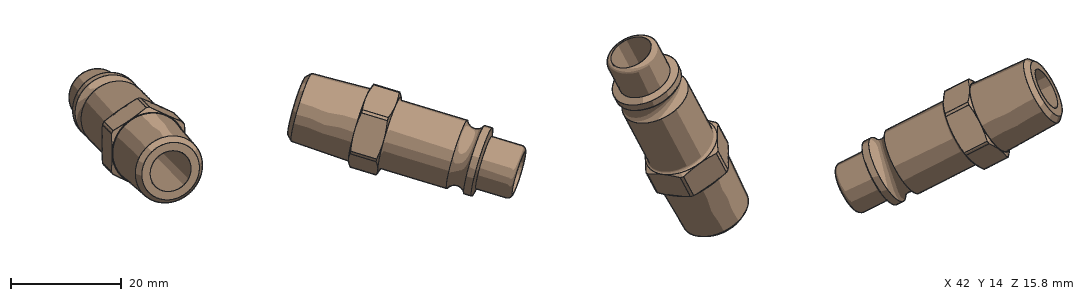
import cadquery as cq
import math

length = 42.0
tip_round = 0.92
collar_start = 6.6
collar_bevel = 0.38
groove_start = 8.4
groove_end = 11.68
neck_start = 24.0
hex_start = 24.45
hex_end = 30.05

bore_radius = 7.8 / 2
tip_radius = 9.9 / 2
body_radius = 12.9 / 2
groove_radius = 5.4
neck_radius = 6.95
thread_start_radius = 6.85
thread_end_radius = 6.43
end_chamfer = 0.92

across_flats = 14.0
across_corners = 15.8
hex_bevel = 0.35
hex_bevel_radius = 6.97


def revolve_about_x(profile):
    return profile.close().revolve(360, (0, 0, 0), (1, 0, 0))


def turned_body():
    """Plug tip, collar, locking groove, body and tapered thread blank."""
    groove_middle = (groove_start + groove_end) / 2
    quarter = math.sqrt(0.5)
    tip_mid = (tip_round * (1 - quarter), tip_radius - tip_round * (1 - quarter))
    neck_length = hex_start - neck_start
    neck_rise = neck_radius - body_radius
    neck_mid = (neck_start + neck_length * quarter, body_radius + neck_rise * (1 - quarter))
    hex_middle = (hex_start + hex_end) / 2
    profile = (
        cq.Workplane("XY")
        .moveTo(0, 0)
        .lineTo(0, tip_radius - tip_round)
        .threePointArc(tip_mid, (tip_round, tip_radius))
        .lineTo(collar_start, tip_radius)
        .lineTo(collar_start + collar_bevel, body_radius)
        .lineTo(groove_start, body_radius)
        .threePointArc((groove_middle, groove_radius), (groove_end, body_radius))
        .lineTo(neck_start, body_radius)
        .threePointArc(neck_mid, (hex_start, neck_radius))
        .lineTo(hex_middle, neck_radius)
        .lineTo(hex_middle, thread_start_radius)
        .lineTo(hex_end, thread_start_radius)
        .lineTo(length - end_chamfer, thread_end_radius)
        .lineTo(length, thread_end_radius - end_chamfer)
        .lineTo(length, 0)
    )
    return revolve_about_x(profile)


def hexagon():
    """Wrench hexagon with corners up, trimmed by a cylinder with conical ends."""
    corner_diameter = across_flats / math.cos(math.pi / 6)
    prism = (
        cq.Workplane("YZ", origin=(hex_start, 0, 0))
        .transformed(rotate=(0, 0, 90))
        .polygon(6, corner_diameter)
        .extrude(hex_end - hex_start)
    )
    corner_radius = across_corners / 2
    envelope = revolve_about_x(
        cq.Workplane("XY")
        .moveTo(hex_start, 0)
        .lineTo(hex_start, hex_bevel_radius)
        .lineTo(hex_start + hex_bevel, corner_radius)
        .lineTo(hex_end - hex_bevel, corner_radius)
        .lineTo(hex_end, hex_bevel_radius)
        .lineTo(hex_end, 0)
    )
    return prism.intersect(envelope)


bore = cq.Workplane("YZ").circle(bore_radius).extrude(length)

result = turned_body().union(hexagon()).cut(bore)